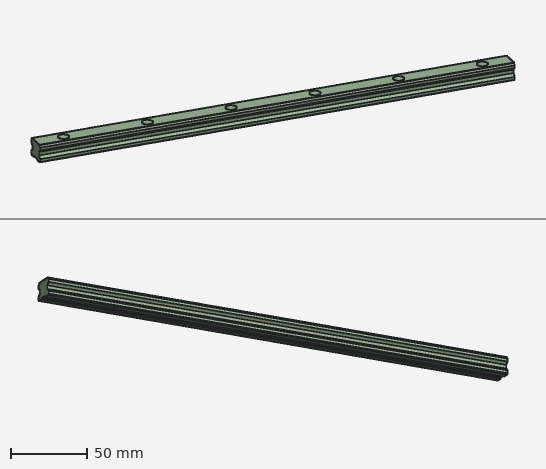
import cadquery as cq

rail_length = 340.0
rail_width = 15.0
rail_height = 12.5

top_flat_width = 12.2
head_shoulder_width = 12.8
head_shoulder_height = 12.2
head_flank_top = 10.9
head_flank_bottom = 8.9
undercut_shoulder_width = 12.4
undercut_shoulder_height = 7.9
undercut_bottom = 7.1
ball_groove_radius = 2.0

waist_width = 11.2
waist_bottom = 4.6
base_flank_top = 2.7
base_flank_bottom = 0.7
bottom_flat_width = 13.4

relief_mouth_width = 5.0
relief_floor_width = 4.0
relief_depth = 0.8

hole_diameter = 7.5
hole_recess_depth = 0.2
hole_count = 6
hole_pitch = 60.0


def right_half():
    """Right half of the rail (X >= 0), standing on Z = 0 and centred along Y."""
    section = (
        cq.Workplane("XZ")
        .moveTo(0, relief_depth)
        .lineTo(relief_floor_width / 2, relief_depth)
        .lineTo(relief_mouth_width / 2, 0)
        .lineTo(bottom_flat_width / 2, 0)
        .lineTo(rail_width / 2, base_flank_bottom)
        .lineTo(rail_width / 2, base_flank_top)
        .lineTo(waist_width / 2, waist_bottom)
        .lineTo(waist_width / 2, undercut_bottom)
        .lineTo(undercut_shoulder_width / 2, undercut_shoulder_height)
        .radiusArc((rail_width / 2, head_flank_bottom), ball_groove_radius)
        .lineTo(rail_width / 2, head_flank_top)
        .radiusArc((head_shoulder_width / 2, head_shoulder_height), ball_groove_radius)
        .lineTo(top_flat_width / 2, rail_height)
        .lineTo(0, rail_height)
        .close()
    )
    return section.extrude(rail_length / 2, both=True)


def rail_body():
    """Both halves of the rail joined across the YZ plane."""
    half = right_half()
    return half.union(half.mirror("YZ")).clean()


def hole_recesses():
    """Row of shallow round recesses, evenly spaced and centred along the rail."""
    return (
        cq.Workplane("XY")
        .workplane(offset=rail_height - hole_recess_depth)
        .rarray(1, hole_pitch, 1, hole_count)
        .circle(hole_diameter / 2)
        .extrude(hole_recess_depth)
    )


result = rail_body().cut(hole_recesses())